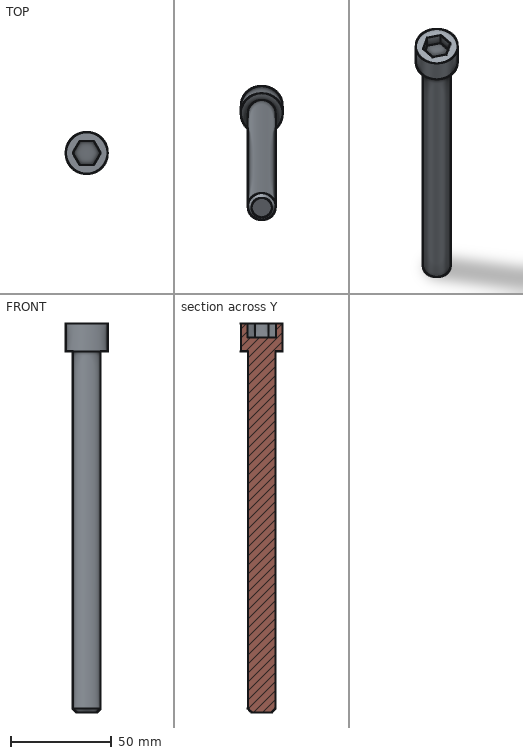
import cadquery as cq
import math

total_length = 194
shank_diameter = 14.0
head_diameter = 21.0
head_height = shank_diameter
tip_chamfer = 2.0
hex_across_flats = 12.0
socket_depth = head_height / 2

shank_length = total_length - head_height


def make_shank():
    """Plain cylindrical shank, chamfered at the tip."""
    shank = cq.Workplane("XY").circle(shank_diameter / 2).extrude(shank_length)
    return shank.faces("<Z").chamfer(tip_chamfer)


def make_head():
    """Cylindrical head on top of the shank."""
    return (
        cq.Workplane("XY")
        .workplane(offset=shank_length)
        .circle(head_diameter / 2)
        .extrude(head_height)
    )


def make_hex_socket():
    """Hexagonal drive socket with two corners in line with the X axis."""
    across_corners = hex_across_flats / math.cos(math.pi / 6)
    return (
        cq.Workplane("XY")
        .workplane(offset=total_length)
        .polygon(6, across_corners)
        .extrude(-socket_depth)
    )


result = make_shank().union(make_head()).cut(make_hex_socket())